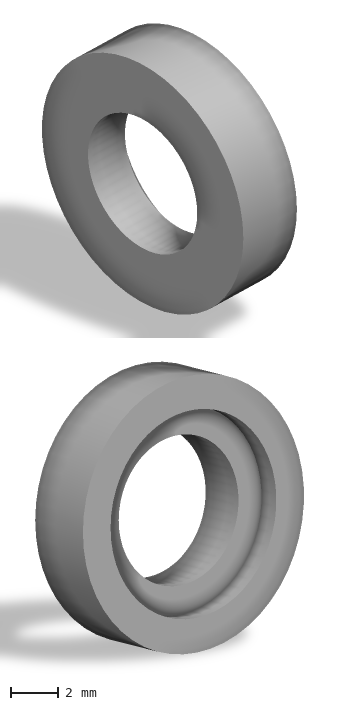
import cadquery as cq

outer_diameter = 12.0
bore_diameter = 6.5
thickness = 3.2
recess_diameter = 9.0
recess_depth = 1.0

front_y = -thickness / 2
back_y = thickness / 2
recess_floor_y = back_y - recess_depth

section = (
    cq.Workplane("XY")
    .moveTo(bore_diameter / 2, front_y)
    .lineTo(outer_diameter / 2, front_y)
    .lineTo(outer_diameter / 2, back_y)
    .lineTo(recess_diameter / 2, back_y)
    .lineTo(recess_diameter / 2, recess_floor_y)
    .lineTo(bore_diameter / 2, recess_floor_y)
    .close()
)

result = section.revolve(360, (0, 0, 0), (0, 1, 0))